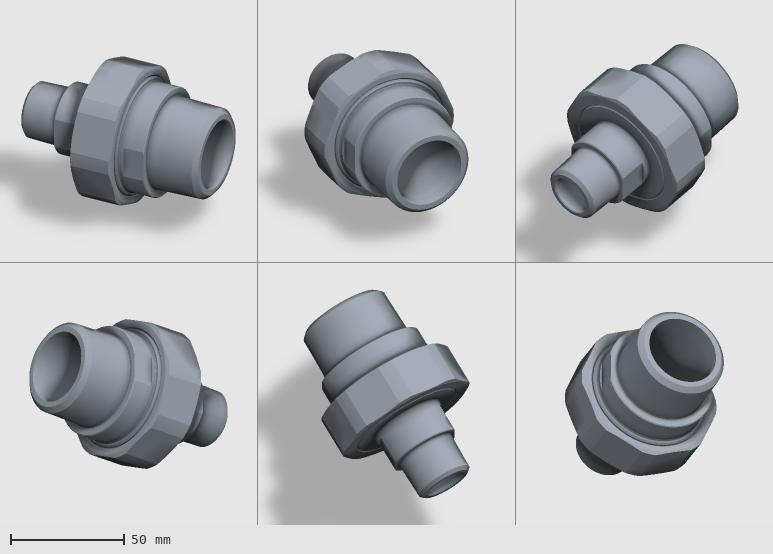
import cadquery as cq
import math


TOTAL_LENGTH = 91.0
TAIL_BORE_DIA = 18.0
BODY_BORE_DIA = 32.0
BORE_CHAMFER = 0.4

NUT_START = 34.0
NUT_LENGTH = 20.0
NUT_CORNER_DIA = 64.7
NUT_ACROSS_FLATS = 62.1
NUT_SIDES = 8
NUT_FACE_DIA = 61.0
NUT_CHAMFER_LENGTH = 0.6
NUT_LIP_LENGTH = 3.6
NUT_LIP_BORE_DIA = 50.5
NUT_LIP_CHAMFER = 0.3
NUT_THREAD_DIA = 54.4
NUT_MOUTH_DIA = 55.9
NUT_END = NUT_START + NUT_LENGTH
NUT_LIP_END = NUT_START + NUT_LIP_LENGTH

TAIL_TIP_DIA = 22.5
TAIL_THREAD_START_DIA = 25.8
TAIL_THREAD_END_DIA = 26.75
TAIL_TIP_CHAMFER_LENGTH = 1.55
TAIL_THREAD_END = 17.6
TAIL_RUNOUT_LENGTH = 0.4
TAIL_RUNOUT_DIA = 27.7
TAIL_COLLAR_DIA = 33.0
TAIL_FLARE_DIA = 33.7
TAIL_FLARE_START = 33.7
TAIL_FLAT_END = 31.0
TAIL_ACROSS_FLATS = 29.9
TAIL_FLANGE_DIA = 50.0
TAIL_FLANGE_CHAMFER = 0.55
TAIL_SHOULDER_DIA = 54.0
TAIL_SHOULDER_LENGTH = 3.6
TAIL_COLLAR_START = TAIL_THREAD_END + TAIL_RUNOUT_LENGTH
TAIL_END = NUT_LIP_END + TAIL_SHOULDER_LENGTH

BODY_THREAD_END = 54.9
BODY_THREAD_END_DIA = 53.0
BODY_COLLAR_START = 55.6
BODY_COLLAR_DIA = 50.5
BODY_FLARE_DIA = 51.3
BODY_FLAT_START = 57.0
BODY_ACROSS_FLATS = 48.4
BODY_COLLAR_END = 66.9
BODY_PIPE_START = 67.7
BODY_RUNOUT_DIA = 43.1
BODY_PIPE_START_DIA = 42.6
BODY_PIPE_END_DIA = 41.5
BODY_TIP_DIA = 36.95
BODY_TIP_CHAMFER_LENGTH = 2.2

COLLAR_CHAMFER = 0.5


def revolve_profile(stations):
    """Solid of revolution about X through (x, diameter) stations."""
    outline = [(x, diameter / 2) for x, diameter in stations]
    first_x = stations[0][0]
    last_x = stations[-1][0]
    closed = [(first_x, 0), *outline, (last_x, 0)]
    return cq.Workplane("XY").polyline(closed).close().revolve(360, (0, 0, 0), (1, 0, 0))


def cut_wrench_flats(piece, start, end, across_flats, diameter):
    """Cut a pair of flats facing -Y and +Y between two places along X."""
    length = end - start
    for side in (-1, 1):
        cutter = cq.Workplane("XY").box(length, diameter, diameter)
        center_y = side * (across_flats + diameter) / 2
        piece = piece.cut(cutter.translate(((start + end) / 2, center_y, 0)))
    return piece


def make_nut():
    corner_to_corner = NUT_ACROSS_FLATS / math.cos(math.pi / NUT_SIDES)
    prism = (
        cq.Workplane("YZ", origin=(NUT_START, 0, 0))
        .polygon(NUT_SIDES, corner_to_corner)
        .extrude(NUT_LENGTH)
    )
    envelope = revolve_profile([
        (NUT_START, NUT_FACE_DIA),
        (NUT_START + NUT_CHAMFER_LENGTH, NUT_CORNER_DIA),
        (NUT_END - NUT_CHAMFER_LENGTH, NUT_CORNER_DIA),
        (NUT_END, NUT_FACE_DIA),
    ])
    mouth_depth = (NUT_MOUTH_DIA - NUT_THREAD_DIA) / 2
    opening = revolve_profile([
        (NUT_START, NUT_LIP_BORE_DIA + 2 * NUT_LIP_CHAMFER),
        (NUT_START + NUT_LIP_CHAMFER, NUT_LIP_BORE_DIA),
        (NUT_LIP_END, NUT_LIP_BORE_DIA),
        (NUT_LIP_END, NUT_THREAD_DIA),
        (NUT_END - mouth_depth, NUT_THREAD_DIA),
        (NUT_END, NUT_MOUTH_DIA),
    ])
    return prism.intersect(envelope).cut(opening)


def make_tail():
    outside = revolve_profile([
        (0, TAIL_TIP_DIA),
        (TAIL_TIP_CHAMFER_LENGTH, TAIL_THREAD_START_DIA),
        (TAIL_THREAD_END, TAIL_THREAD_END_DIA),
        (TAIL_COLLAR_START, TAIL_RUNOUT_DIA),
        (TAIL_COLLAR_START, TAIL_COLLAR_DIA - 2 * COLLAR_CHAMFER),
        (TAIL_COLLAR_START + COLLAR_CHAMFER, TAIL_COLLAR_DIA),
        (TAIL_FLARE_START, TAIL_COLLAR_DIA),
        (NUT_START, TAIL_FLARE_DIA),
        (NUT_START, TAIL_FLANGE_DIA - 2 * TAIL_FLANGE_CHAMFER),
        (NUT_START + TAIL_FLANGE_CHAMFER, TAIL_FLANGE_DIA),
        (NUT_LIP_END, TAIL_FLANGE_DIA),
        (NUT_LIP_END, TAIL_SHOULDER_DIA),
        (TAIL_END, TAIL_SHOULDER_DIA),
    ])
    bore = revolve_profile([
        (0, TAIL_BORE_DIA + 2 * BORE_CHAMFER),
        (BORE_CHAMFER, TAIL_BORE_DIA),
        (TAIL_END, TAIL_BORE_DIA),
    ])
    tail = outside.cut(bore)
    return cut_wrench_flats(
        tail, TAIL_COLLAR_START, TAIL_FLAT_END, TAIL_ACROSS_FLATS, TAIL_COLLAR_DIA
    )


def make_body():
    outside = revolve_profile([
        (TAIL_END, NUT_THREAD_DIA),
        (NUT_END, NUT_THREAD_DIA),
        (BODY_THREAD_END, BODY_THREAD_END_DIA),
        (BODY_THREAD_END, BODY_FLARE_DIA),
        (BODY_COLLAR_START, BODY_COLLAR_DIA),
        (BODY_COLLAR_END - COLLAR_CHAMFER, BODY_COLLAR_DIA),
        (BODY_COLLAR_END, BODY_COLLAR_DIA - 2 * COLLAR_CHAMFER),
        (BODY_COLLAR_END, BODY_RUNOUT_DIA),
        (BODY_PIPE_START, BODY_PIPE_START_DIA),
        (TOTAL_LENGTH - BODY_TIP_CHAMFER_LENGTH, BODY_PIPE_END_DIA),
        (TOTAL_LENGTH, BODY_TIP_DIA),
    ])
    bore = revolve_profile([
        (TAIL_END, BODY_BORE_DIA),
        (TOTAL_LENGTH, BODY_BORE_DIA),
    ])
    body = outside.cut(bore)
    return cut_wrench_flats(
        body, BODY_FLAT_START, BODY_COLLAR_END, BODY_ACROSS_FLATS, BODY_COLLAR_DIA
    )


nut = make_nut()
tail = make_tail()
body = make_body()

result = cq.Compound.makeCompound([nut.val(), tail.val(), body.val()])